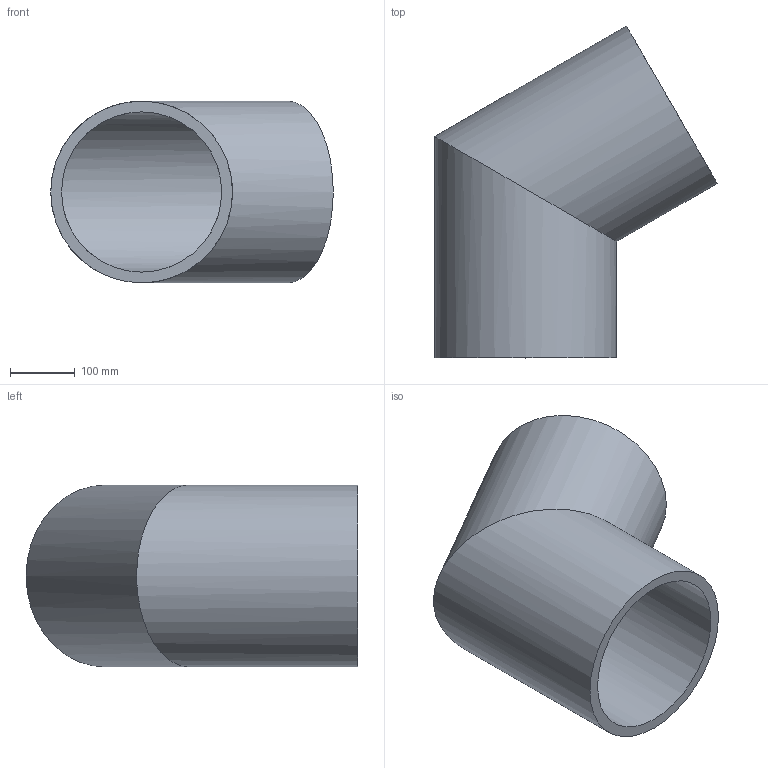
import cadquery as cq
import math

outer_diameter = 280.0
wall_thickness = 16.6
leg_length = 260.0
bend_angle = 60.0

outer_radius = outer_diameter / 2
inner_radius = outer_radius - wall_thickness

bend = math.radians(bend_angle)
inlet_direction = cq.Vector(0, 1, 0)
outlet_direction = cq.Vector(math.sin(bend), math.cos(bend), 0)

inlet_center = cq.Vector(0, 0, 0)
mitre_center = inlet_center + inlet_direction * leg_length
outlet_center = mitre_center + outlet_direction * leg_length


def mitred_rod(radius):
    """Solid rod following the bent centreline, with a sharp mitre at the corner."""
    centreline = cq.Workplane("XY").polyline(
        [point.toTuple() for point in (inlet_center, mitre_center, outlet_center)]
    )
    profile_plane = cq.Plane(origin=inlet_center, xDir=(1, 0, 0), normal=inlet_direction)
    return cq.Workplane(profile_plane).circle(radius).sweep(centreline, transition="right")


result = mitred_rod(outer_radius).cut(mitred_rod(inner_radius))